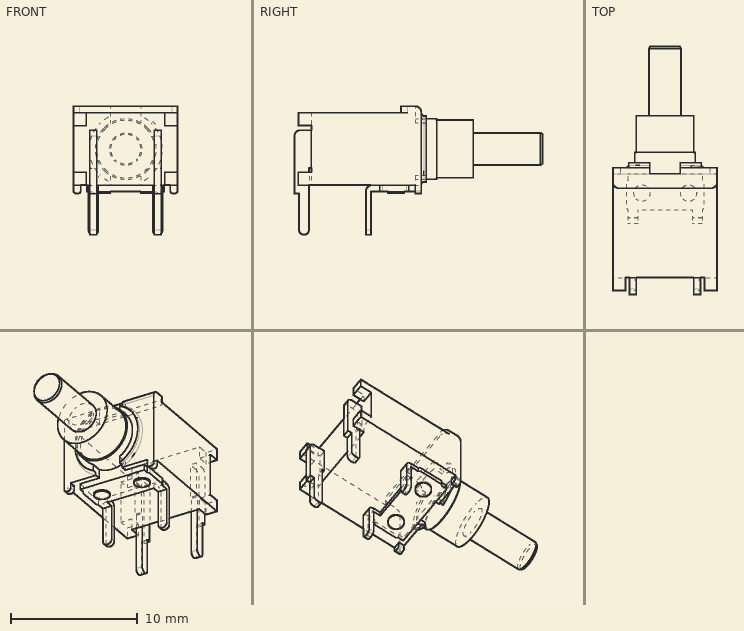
import cadquery as cq
import math


overall_length = 19.6
overall_height = 10.15

body_width = 8.25
body_height = 5.72
body_half_height = body_height / 2
core_depth = 8.2
post_size = 1.02
body_depth = core_depth + post_size

plunger_diameter = 2.55
plunger_tip = 10.07
plunger_chamfer_length = 0.18
plunger_chamfer_radial = 0.1
bushing_diameter = 4.57
bushing_front = 4.6
collar_diameter = 4.8
collar_front = 1.7
flange_diameter = 5.76
flange_front = 0.9
flange_flare = 0.18

sheet = 0.5
lip_length = 1.12
lip_radius = 0.49
notch_width = 2.41
bracket_top = body_half_height + sheet
foot_width = 0.6
foot_bottom = -3.53
foot_corner_radius = 0.24

floor_half_width = 3.05
floor_front = 0.45
floor_back = 2.82
floor_corner_radius = 0.24
leg_spacing = 5.08
leg_width = 0.8
leg_thickness = 0.41
leg_back = 3.88
leg_outer_edge = (leg_spacing + leg_width) / 2
leg_tip_flat = 0.02
leg_tip_radius = (leg_width - leg_tip_flat) / 2
bend_radius = 0.47
leg_bottom = bracket_top - overall_height
dimple_diameter = 1.3
dimple_spacing = 3.68
dimple_y = -1.49
dimple_height = 0.12

terminal_thickness = 0.57
terminal_back = plunger_tip - overall_length
terminal_top = 1.49
terminal_corner_radius = 0.47
blade_bottom = -1.5
blade_shoulder = foot_bottom
pin_front = -8.37
pin_back = pin_front - leg_width


def box(x_range, y_range, z_range):
    """Box between the given low and high limits on each axis."""
    (x0, x1), (y0, y1), (z0, z1) = x_range, y_range, z_range
    return cq.Workplane("XY").box(x1 - x0, y1 - y0, z1 - z0, centered=False).translate((x0, y0, z0))


def centred_range(middle, width):
    """Low and high limits of a span of the given width about a middle value."""
    return (middle - width / 2, middle + width / 2)


def disc(diameter, front):
    """Cylinder on the plunger axis from the body front face to y = front."""
    return cq.Workplane("XZ").circle(diameter / 2).extrude(-front)


def make_body():
    """Block whose rear corners carry four short square posts."""
    full_x = centred_range(0, body_width)
    full_z = centred_range(0, body_height)
    body = box(full_x, (-body_depth, 0), full_z)
    rear_y = (-body_depth, -core_depth)
    body = body.cut(box(centred_range(0, body_width - 2 * post_size), rear_y, full_z))
    return body.cut(box(full_x, rear_y, centred_range(0, body_height - 2 * post_size)))


def make_flange():
    """Flange disc flaring out with a concave fillet where it meets the front plate."""
    radius = flange_diameter / 2
    flare_start = sheet + flange_flare
    flare_offset = flange_flare * (1 - math.sqrt(0.5))
    return (
        cq.Workplane("XY")
        .moveTo(0, 0)
        .lineTo(radius + flange_flare, 0)
        .lineTo(radius + flange_flare, sheet)
        .threePointArc((radius + flare_offset, sheet + flare_offset), (radius, flare_start))
        .lineTo(radius, flange_front)
        .lineTo(0, flange_front)
        .close()
        .revolve(360, (0, 0, 0), (0, 1, 0))
    )


def make_bracket():
    """Front plate bent over the body top, with two feet, a flange and notches above and below."""
    full_x = centred_range(0, body_width)
    bracket = box(full_x, (-lip_length, sheet), (-body_half_height, bracket_top))
    bracket = bracket.edges("|X and >Y and >Z").fillet(lip_radius)
    bracket = bracket.edges("|Z and <Y").fillet(lip_radius)
    bracket = bracket.cut(box(full_x, (-lip_length, 0), (-body_half_height, body_half_height)))
    for side in (-1, 1):
        middle = side * (body_width - foot_width) / 2
        foot = box(centred_range(middle, foot_width), (0, sheet), (foot_bottom, 0))
        bracket = bracket.union(foot.edges("|Y and <Z").fillet(foot_corner_radius))
    bracket = bracket.union(make_flange())
    notch = box(centred_range(0, notch_width), (0, flange_front), centred_range(0, 2 * bracket_top))
    return bracket.cut(notch)


def make_plunger():
    """Collar, bushing and plunger stacked along the axis, with a chamfered plunger tip."""
    plunger = disc(plunger_diameter, plunger_tip)
    plunger = plunger.faces(">Y").chamfer(plunger_chamfer_length, plunger_chamfer_radial)
    return plunger.union(disc(bushing_diameter, bushing_front)).union(disc(collar_diameter, collar_front))


def make_support():
    """Plate under the body, bent down at the back into two round-ended legs, with dimples below."""
    floor_bottom = -body_half_height - sheet
    floor_z = (floor_bottom, -body_half_height)
    tongue = box(centred_range(0, 2 * leg_outer_edge), (-floor_front, 0), floor_z)
    floor = box(centred_range(0, 2 * floor_half_width), (-floor_back, -floor_front), floor_z)
    support = tongue.union(floor.edges("|Z").fillet(floor_corner_radius))
    for side in (-1, 1):
        leg_x = centred_range(side * leg_spacing / 2, leg_width)
        leg = box(leg_x, (-leg_back, leg_thickness - leg_back), (leg_bottom, -body_half_height))
        arm = box(leg_x, (-leg_back, -floor_front), floor_z)
        leg = leg.edges("|Y and <Z").fillet(leg_tip_radius).union(arm)
        support = support.union(leg.edges("|X and <Y and >Z").fillet(bend_radius))
        dimple = cq.Workplane("XY").circle(dimple_diameter / 2).extrude(-dimple_height)
        support = support.union(dimple.translate((side * dimple_spacing / 2, dimple_y, floor_bottom)))
    return support


def make_terminal(x):
    """Flat rear terminal: a wide blade that steps to a narrower round-ended pin."""
    terminal_x = centred_range(x, terminal_thickness)
    upper_blade = box(terminal_x, (terminal_back, -core_depth), (blade_bottom, terminal_top))
    upper_blade = upper_blade.edges("|X and <Y and >Z").fillet(terminal_corner_radius)
    lower_blade = box(terminal_x, (terminal_back, pin_front), (blade_shoulder, blade_bottom))
    pin = box(terminal_x, (pin_back, pin_front), (leg_bottom, blade_bottom))
    pin = pin.edges("|X and <Z").fillet(leg_tip_radius)
    return upper_blade.union(lower_blade).union(pin)


result = make_body().union(make_bracket()).union(make_plunger()).union(make_support())
for terminal_side in (-1, 1):
    result = result.union(make_terminal(terminal_side * leg_spacing / 2))